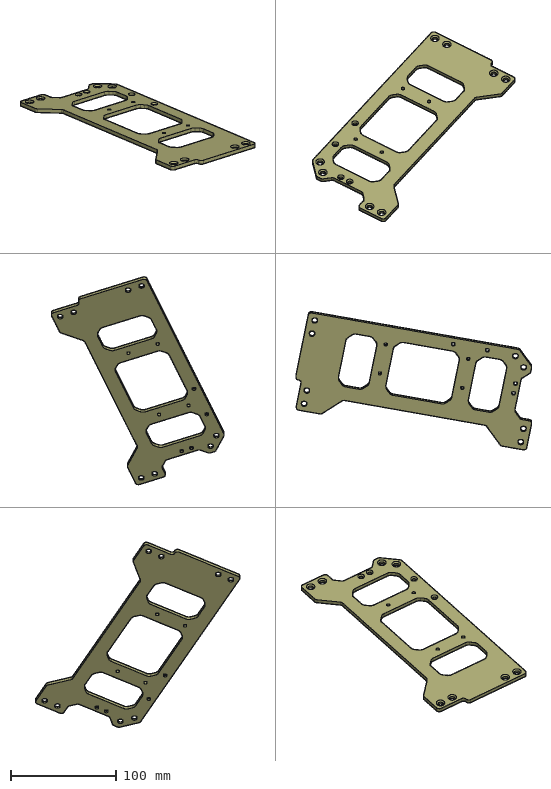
import cadquery as cq

length = 229.5
depth = 100.0
thickness = 4.0
corner_radius = 3.0

right_overhang = 6.2
leg_half_span = (length - right_overhang) / 2
right_edge = leg_half_span + right_overhang
leg_foot_inner = 87.0
leg_root_inner = 69.0
leg_root_y = 18.0
shoulder_y = 30.3

waist_x = -93.5
waist_flare = 7.0
ear_tip_x = -101.0
ear_tip_bottom_y = 78.8
ear_tip_top_y = 85.0
ear_undercut = waist_x - ear_tip_x
ear_chamfer = depth - ear_tip_top_y

window_height = 54.9
window_center_y = 59.2
window_chamfer = 6.2
window_blend_radius = 5.5
middle_window_width = 63.8
side_window_width = 29.8
side_window_offset = 63.0

large_bore = 5.3
large_head = 8.0
small_bore = 3.5
small_head = 6.2
countersink_angle = 90

leg_hole_x = 105.0
leg_hole_ys = (7.3, 21.1)
right_hole_x = 111.0
right_hole_ys = (79.2, 93.0)
ear_hole = (-93.5, 83.0)
ear_hole_step = 9.9

top_hole_xs = (-56.3, -23.2)
top_hole_y = 93.7
waist_hole_x = -88.9
waist_hole_ys = (55.0, 65.2)

plain_bore = 3.0
plain_hole_x = 40.0
plain_hole_ys = (51.5, 81.5)


def plate():
    """Flat plate with every outline corner rounded."""
    outline = [
        (-leg_half_span, 0),
        (-leg_foot_inner, 0),
        (-leg_root_inner, leg_root_y),
        (leg_root_inner, leg_root_y),
        (leg_foot_inner, 0),
        (leg_half_span, 0),
        (leg_half_span, shoulder_y),
        (right_edge, shoulder_y),
        (right_edge, depth),
        (ear_tip_x + ear_chamfer, depth),
        (ear_tip_x, ear_tip_top_y),
        (ear_tip_x, ear_tip_bottom_y),
        (waist_x, ear_tip_bottom_y - ear_undercut),
        (waist_x, shoulder_y + waist_flare),
        (waist_x - waist_flare, shoulder_y),
        (-leg_half_span, shoulder_y),
    ]
    blank = cq.Workplane("XY").polyline(outline).close().extrude(thickness)
    return blank.edges("|Z").fillet(corner_radius)


def window(center_x, width):
    """Cutter for a through window: 45 degree corners, each blended into its sides."""
    block = cq.Workplane("XY").center(center_x, window_center_y).rect(width, window_height)
    octagon = block.extrude(thickness).edges("|Z").chamfer(window_chamfer)
    return octagon.edges("|Z").fillet(window_blend_radius)


def drill_countersunk(body, points, bore, head):
    """Through holes countersunk from the top face."""
    top = body.faces(">Z").workplane(origin=(0, 0, thickness))
    return top.pushPoints(points).cskHole(bore, head, countersink_angle)


large_holes = [(side * leg_hole_x, y) for side in (-1, 1) for y in leg_hole_ys]
large_holes += [(right_hole_x, y) for y in right_hole_ys]
large_holes += [(ear_hole[0] + step, ear_hole[1] + step) for step in (0, ear_hole_step)]

small_holes = [(x, top_hole_y) for x in top_hole_xs]
small_holes += [(waist_hole_x, y) for y in waist_hole_ys]

plain_holes = [(side * plain_hole_x, y) for side in (-1, 1) for y in plain_hole_ys]

result = plate()
result = result.cut(window(0, middle_window_width))
for side in (-1, 1):
    result = result.cut(window(side * side_window_offset, side_window_width))
result = drill_countersunk(result, large_holes, large_bore, large_head)
result = drill_countersunk(result, small_holes, small_bore, small_head)
top_face = result.faces(">Z").workplane(origin=(0, 0, thickness))
result = top_face.pushPoints(plain_holes).hole(plain_bore)